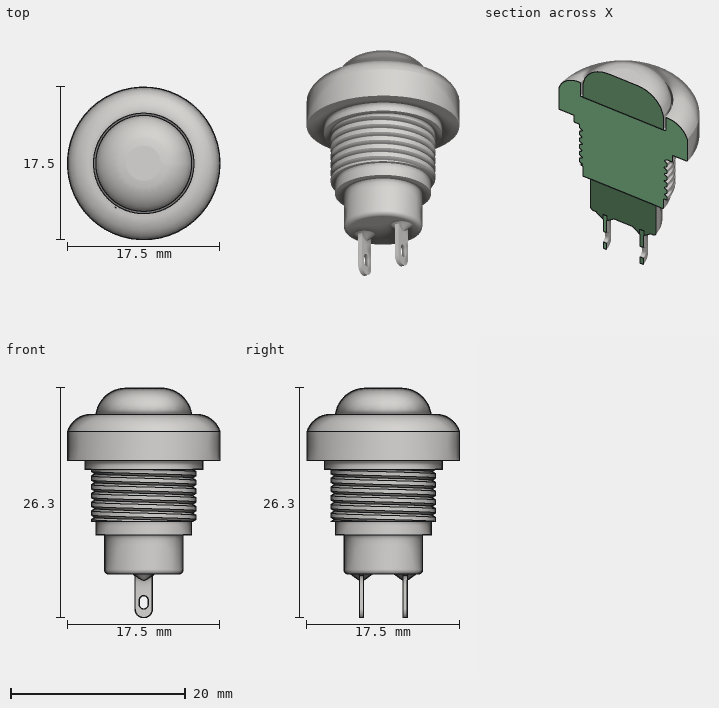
import cadquery as cq
import math


total_height = 26.3
case_bottom_z = 5.0
collar_bottom_z = 9.5
thread_bottom_z = 11.0
thread_pitch = 1.0
thread_turns = 6
thread_top_z = thread_bottom_z + thread_turns * thread_pitch
bezel_bottom_z = 18.0
bezel_shoulder_z = 21.3
bezel_top_z = 23.3

bezel_radius = 8.745
bezel_rim_radius = 6.0
opening_radius = 5.75
flange_radius = 6.75
thread_radius = 6.0
thread_groove_width = 0.53
thread_groove_depth = 0.42
collar_radius = 5.5

button_radius = 5.5
button_flat_radius = 2.0

case_radius = 4.5
case_edge_radius = 0.5
mound_radius = 1.24
mound_height = 0.9

terminal_offset = 2.5
terminal_width = 2.0
terminal_thickness = 0.5
eyelet_width = 1.0
eyelet_length = 1.5
eyelet_z = 1.75


def disc(radius, bottom_z, top_z):
    """Solid cylinder on the main axis between two heights."""
    return cq.Workplane("XY", origin=(0, 0, bottom_z)).circle(radius).extrude(top_z - bottom_z)


def rounded_disc(radius, rim_radius, bottom_z, shoulder_z, top_z):
    """Cylinder whose top edge is an arc, level at the rim and passing through the shoulder."""
    rise = top_z - shoulder_z
    run = radius - rim_radius
    arc_radius = (run**2 + rise**2) / (2 * rise)
    half_angle = math.asin(run / arc_radius) / 2
    arc_middle = (
        rim_radius + arc_radius * math.sin(half_angle),
        top_z - arc_radius * (1 - math.cos(half_angle)),
    )
    return (
        cq.Workplane("XZ")
        .moveTo(0, bottom_z)
        .lineTo(radius, bottom_z)
        .lineTo(radius, shoulder_z)
        .threePointArc(arc_middle, (rim_radius, top_z))
        .lineTo(0, top_z)
        .close()
        .revolve(360, (0, 0, 0), (0, 1, 0))
    )


def make_bezel():
    """Rounded head with a recess for the button."""
    head = rounded_disc(bezel_radius, bezel_rim_radius, bezel_bottom_z, bezel_shoulder_z, bezel_top_z)
    return head.cut(disc(opening_radius, bezel_shoulder_z, bezel_top_z))


def make_threaded_barrel():
    """Cylinder with a left-handed V groove centred on the end faces at the +X side."""
    start_z = thread_bottom_z - thread_pitch
    overshoot = 0.13
    outer_radius = thread_radius + overshoot
    root_radius = thread_radius - thread_groove_depth
    slope = thread_groove_width / 2 / thread_groove_depth
    half_opening = slope * (thread_groove_depth + overshoot)
    helix = cq.Wire.makeHelix(
        thread_pitch,
        (thread_turns + 2) * thread_pitch,
        thread_radius,
        center=cq.Vector(0, 0, start_z),
        lefthand=True,
    )
    groove = (
        cq.Workplane("XZ")
        .moveTo(root_radius, start_z)
        .lineTo(outer_radius, start_z - half_opening)
        .lineTo(outer_radius, start_z + half_opening)
        .close()
        .sweep(cq.Workplane("XY").add(helix), isFrenet=True)
    )
    end_z = thread_top_z + thread_pitch
    long_barrel = disc(thread_radius, start_z - thread_pitch, end_z + thread_pitch).cut(groove)
    return long_barrel.intersect(disc(bezel_radius, thread_bottom_z, thread_top_z))


def make_housing():
    """Bezel, flange, threaded barrel and lower collar in one piece."""
    flange = disc(flange_radius, thread_top_z, bezel_bottom_z)
    collar = disc(collar_radius, collar_bottom_z, thread_bottom_z)
    return make_threaded_barrel().union(flange).union(collar).union(make_bezel())


def make_button():
    """Domed cap that stands on the floor of the bezel recess."""
    return rounded_disc(button_radius, button_flat_radius, bezel_shoulder_z, bezel_top_z, total_height)


def make_terminal(y):
    """Flat lug with a rounded tip and a slotted eyelet, centred at y."""
    half_width = terminal_width / 2
    plane = cq.Workplane("XZ", origin=(0, y, 0))
    blade = (
        plane.moveTo(-half_width, case_bottom_z)
        .lineTo(-half_width, half_width)
        .threePointArc((0, 0), (half_width, half_width))
        .lineTo(half_width, case_bottom_z)
        .close()
        .extrude(terminal_thickness / 2, both=True)
    )
    eyelet = (
        plane.center(0, eyelet_z)
        .slot2D(eyelet_length, eyelet_width, 90)
        .extrude(terminal_thickness, both=True)
    )
    return blade.cut(eyelet)


def make_case(terminals, terminal_positions):
    """Lower cylinder with a conical mound, slotted for the lug, at each terminal."""
    case = disc(case_radius, case_bottom_z, collar_bottom_z)
    case = case.faces("<Z").edges().fillet(case_edge_radius)
    for y in terminal_positions:
        mound = cq.Solid.makeCone(
            mound_radius,
            0,
            mound_height,
            pnt=cq.Vector(0, y, case_bottom_z),
            dir=cq.Vector(0, 0, -1),
        )
        case = case.union(cq.Workplane(mound))
    for terminal in terminals:
        case = case.cut(terminal)
    return case


terminal_positions = [-terminal_offset, terminal_offset]
terminals = [make_terminal(y) for y in terminal_positions]
housing = make_housing()
button = make_button()
case = make_case(terminals, terminal_positions)

bodies = [housing, button, case, *terminals]
result = cq.Compound.makeCompound([body.solids().val() for body in bodies])